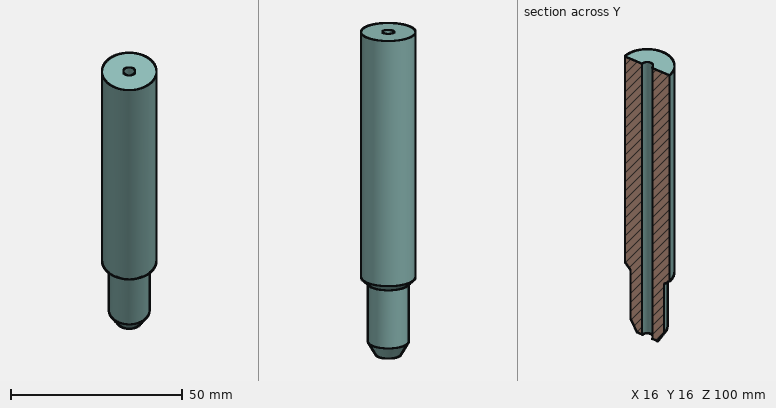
import cadquery as cq
import math

total_length = 100.0
body_diameter = 16.0
shank_diameter = 12.0
bore_diameter = 3.5

shank_length = 22.0
tip_length = 4.0
tip_half_angle = 30.0

body_radius = body_diameter / 2
shank_radius = shank_diameter / 2
shoulder_length = body_radius - shank_radius
tip_radius = shank_radius - tip_length * math.tan(math.radians(tip_half_angle))


def make_stepped_pin():
    """Revolve the half outline: tip cone, shank, shoulder cone and body."""
    outline = [
        (0, 0),
        (tip_radius, 0),
        (shank_radius, tip_length),
        (shank_radius, shank_length),
        (body_radius, shank_length + shoulder_length),
        (body_radius, total_length),
        (0, total_length),
    ]
    profile = cq.Workplane("XZ").polyline(outline).close()
    return profile.revolve(360, (0, 0), (0, 1))


def make_bore():
    """Cylinder for the axial hole through the full length."""
    return cq.Workplane("XY").circle(bore_diameter / 2).extrude(total_length)


result = make_stepped_pin().cut(make_bore())